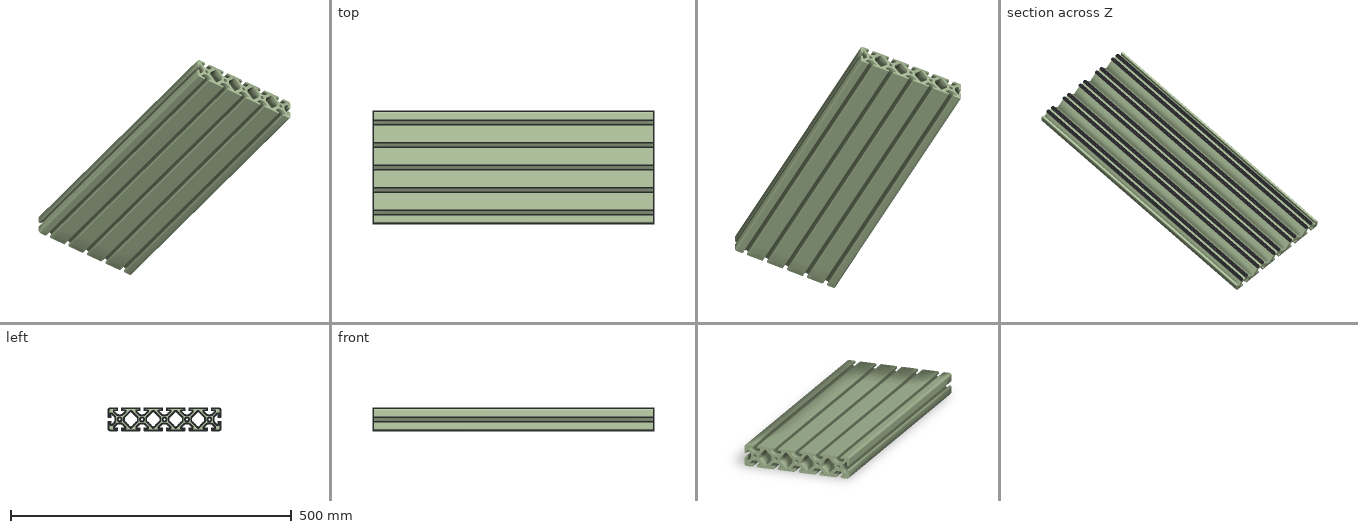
import cadquery as cq
import math

LENGTH = 500.0
MODULE = 40.0
MODULE_COUNT = 5
WIDTH = MODULE * MODULE_COUNT
HALF = MODULE / 2
CORNER_RADIUS = 4.0

SLOT_OPENING = 8.0
LIP_THICKNESS = 4.0
LIP_ROUNDING = 1.5
SLOT_DEPTH = 12.25
CAVITY_WIDTH = 20.5
FLOOR_FLAT_WIDTH = 4.5
FLOOR_ARC_RADIUS = 5.0
FLANK_ANGLE = 45.0
FLOOR_ARC_RUN = FLOOR_ARC_RADIUS * math.sin(math.radians(FLANK_ANGLE))
FLOOR_ARC_RISE = FLOOR_ARC_RADIUS * (1 - math.cos(math.radians(FLANK_ANGLE)))
FLANK_START = FLOOR_FLAT_WIDTH / 2 + FLOOR_ARC_RUN
FLANK_START_DEPTH = SLOT_DEPTH - FLOOR_ARC_RISE
FLANK_RUN = CAVITY_WIDTH / 2 - FLANK_START
CAVITY_SIDE_DEPTH = FLANK_START_DEPTH - FLANK_RUN * math.tan(math.radians(FLANK_ANGLE))

CHAMBER_TIP_RADIUS = 0.7
CORE_HOLE_DIAMETER = 6.8
CHAMBER_HALF_HEIGHT = 15.4
CHAMBER_HALF_WIDTH = 12.1
CHAMBER_SIDE_HALF_HEIGHT = CHAMBER_HALF_HEIGHT - CHAMBER_HALF_WIDTH


def section_plane():
    """Plane at the -X end: local x along +Y, local y along +Z, normal along +X."""
    return cq.Workplane("YZ", origin=(-LENGTH / 2, 0, 0))


def slot_cutter():
    """T-slot open at the top (+Z) face of a module centred on the X axis."""
    mouth = SLOT_OPENING / 2
    flare = mouth + LIP_ROUNDING
    cavity = CAVITY_WIDTH / 2
    floor = FLOOR_FLAT_WIDTH / 2
    return (
        section_plane()
        .moveTo(-flare, HALF)
        .radiusArc((-mouth, HALF - LIP_ROUNDING), LIP_ROUNDING)
        .lineTo(-mouth, HALF - LIP_THICKNESS)
        .lineTo(-cavity, HALF - LIP_THICKNESS)
        .lineTo(-cavity, HALF - CAVITY_SIDE_DEPTH)
        .lineTo(-FLANK_START, HALF - FLANK_START_DEPTH)
        .radiusArc((-floor, HALF - SLOT_DEPTH), -FLOOR_ARC_RADIUS)
        .lineTo(floor, HALF - SLOT_DEPTH)
        .radiusArc((FLANK_START, HALF - FLANK_START_DEPTH), -FLOOR_ARC_RADIUS)
        .lineTo(cavity, HALF - CAVITY_SIDE_DEPTH)
        .lineTo(cavity, HALF - LIP_THICKNESS)
        .lineTo(mouth, HALF - LIP_THICKNESS)
        .lineTo(mouth, HALF - LIP_ROUNDING)
        .radiusArc((flare, HALF), LIP_ROUNDING)
        .close()
        .extrude(LENGTH)
    )


def turned_slot(angle, module_y):
    """T-slot turned about the X axis, then moved to the module at module_y."""
    return slot_cutter().rotate((0, 0, 0), (1, 0, 0), angle).translate((0, module_y, 0))


def chamber_cutter(centre_y):
    """Diamond chamber with flattened sides and rounded tips between two neighbouring modules."""
    return (
        section_plane()
        .center(centre_y, 0)
        .polyline([
            (0, CHAMBER_HALF_HEIGHT),
            (CHAMBER_HALF_WIDTH, CHAMBER_SIDE_HALF_HEIGHT),
            (CHAMBER_HALF_WIDTH, -CHAMBER_SIDE_HALF_HEIGHT),
            (0, -CHAMBER_HALF_HEIGHT),
            (-CHAMBER_HALF_WIDTH, -CHAMBER_SIDE_HALF_HEIGHT),
            (-CHAMBER_HALF_WIDTH, CHAMBER_SIDE_HALF_HEIGHT),
        ])
        .close()
        .extrude(LENGTH)
        .edges("|X and (>Z or <Z)")
        .fillet(CHAMBER_TIP_RADIUS)
    )


def core_hole_cutter(module_y):
    return section_plane().center(module_y, 0).circle(CORE_HOLE_DIAMETER / 2).extrude(LENGTH)


module_centres = [(i - (MODULE_COUNT - 1) / 2) * MODULE for i in range(MODULE_COUNT)]

result = cq.Workplane("XY").box(LENGTH, WIDTH, MODULE).edges("|X").fillet(CORNER_RADIUS)

for module_y in module_centres:
    result = result.cut(turned_slot(0, module_y))
    result = result.cut(turned_slot(180, module_y))
    result = result.cut(core_hole_cutter(module_y))

result = result.cut(turned_slot(90, module_centres[0]))
result = result.cut(turned_slot(-90, module_centres[-1]))

for module_y in module_centres[:-1]:
    result = result.cut(chamber_cutter(module_y + HALF))